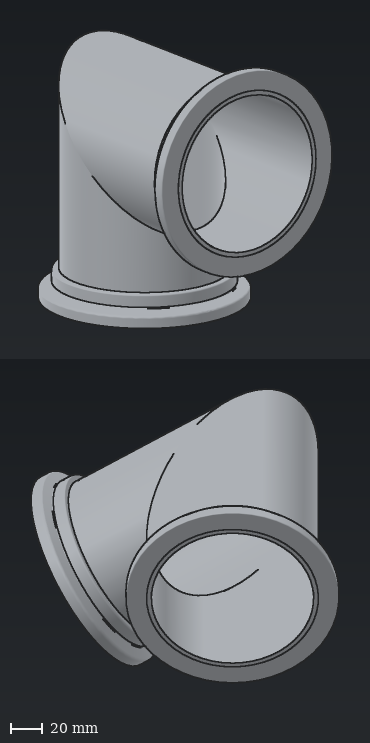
import cadquery as cq
import math

overall = 175.0
tube_diameter = 108.0
bore_diameter = 102.0

rim_diameter = 134.0
hub_diameter = 117.0
flange_length = 20.0
cone_start = 7.9
cone_angle = 20.0
rim_back_fillet = 2.1
rim_front_fillet = 0.7
cone_root_fillet = 0.9
hub_fillet = 1.2

rim_radius = rim_diameter / 2
hub_radius = hub_diameter / 2
tube_radius = tube_diameter / 2
cone_end = cone_start + (rim_radius - hub_radius) * math.tan(math.radians(cone_angle))

leg_length = overall - rim_radius


def half_space(corner):
    """Triangular prism on one side of the mitre plane z = -x, toward the given corner."""
    outline = [(-overall, overall), (overall, -overall), corner]
    return cq.Workplane("XZ").polyline(outline).close().extrude(overall, both=True)


def mitred_bar(diameter):
    """Two equal round bars, along -Z and +X, joined on a 45 degree mitre."""
    radius = diameter / 2
    bar_length = leg_length + rim_radius
    down = cq.Workplane("XY", origin=(0, 0, -leg_length)).circle(radius).extrude(bar_length)
    across = cq.Workplane("YZ", origin=(-rim_radius, 0, 0)).circle(radius).extrude(bar_length)
    down = down.intersect(half_space((-overall, -overall)))
    across = across.intersect(half_space((overall, overall)))
    return down.union(across)


def make_elbow():
    return mitred_bar(tube_diameter).cut(mitred_bar(bore_diameter))


def round_circle(body, radius, height, fillet):
    """Fillet the circular edge of the given radius and height about the Z axis."""
    margin = 0.02
    outer = radius + margin
    outer_box = cq.selectors.BoxSelector(
        (-outer, -outer, height - margin), (outer, outer, height + margin), boundingbox=True
    )
    inner = radius - margin
    inner_box = cq.selectors.BoxSelector(
        (-inner, -inner, height - margin), (inner, inner, height + margin), boundingbox=True
    )
    return body.edges(outer_box - inner_box).fillet(fillet)


def make_flange():
    """Flange around the Z axis, end face at z = 0 and hub toward +Z."""
    profile = [
        (tube_radius, 0),
        (rim_radius, 0),
        (rim_radius, cone_start),
        (hub_radius, cone_end),
        (hub_radius, flange_length),
        (tube_radius, flange_length),
    ]
    flange = cq.Workplane("XZ").polyline(profile).close().revolve(360, (0, 0, 0), (0, 1, 0))
    flange = round_circle(flange, rim_radius, 0, rim_front_fillet)
    flange = round_circle(flange, rim_radius, cone_start, rim_back_fillet)
    flange = round_circle(flange, hub_radius, cone_end, cone_root_fillet)
    return round_circle(flange, hub_radius, flange_length, hub_fillet)


elbow = make_elbow()

flanges = []
for turn in (0, -90):
    flange = make_flange().translate((0, 0, -leg_length))
    flanges.append(flange.rotate((0, 0, 0), (0, 1, 0), turn).val())

result = cq.Compound.makeCompound([elbow.val(), *flanges])